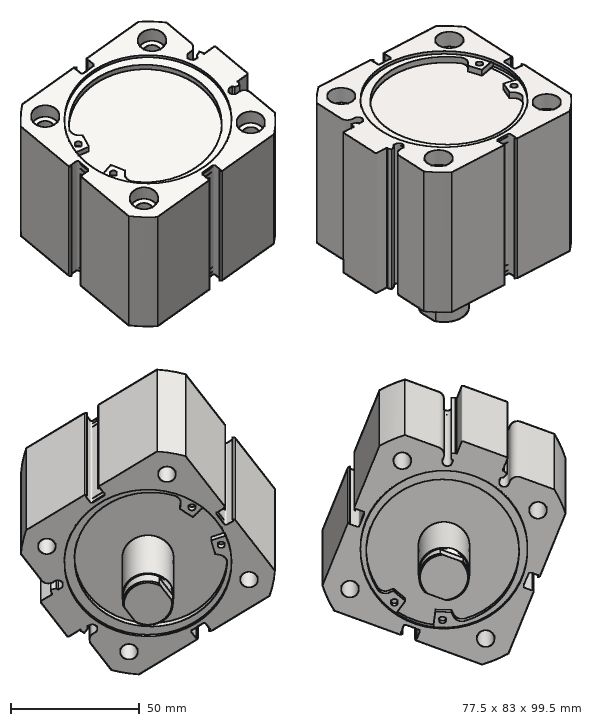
import cadquery as cq
import math


body_width = 77.5
half_width = body_width / 2
rail_face_y = 38.5
body_height = 66.5
overall_height = 99.5
overall_depth = 83.0
corner_diameter = 99.0
bore_diameter = 65.0
bolt_spacing = 56.5
bolt_hole_diameter = 6.9
counterbore_diameter = 11.0
counterbore_depth = 7.0

groove_depth = 4.6
groove_opening = 5.2
groove_width = 6.7
groove_lip = 0.8
groove_corner_radius = 0.7
groove_bevel_depth = 0.5

rail_half_width = 9.6
rail_height = overall_depth - half_width - rail_face_y
rail_corner_radius = 0.5
rail_hook = [(10.1, rail_face_y), (11.6, 37.9), (10.8, 35.8)]
rail_slot_x = 11.8
rail_slot_width = 3.9
rail_slot_radius = rail_slot_width / 2
rail_slot_bottom = 32.3
rail_slot_neck = 35.4
rail_slot_mouth_radius = 3.3

ring_diameter = 67.9
ring_thickness = 2.8
ring_recess = 1.4
ring_inner_diameter = 59.4
ring_inner_offset = 1.4
ring_gap_half_angle = 13.8
lug_angle = 20.0
lug_inner_distance = 26.1
lug_side = 3.4
lug_flank_angle = 25.0
lug_fillet = 3.7
lug_hole_diameter = 2.8
lug_hole_distance = 29.4

cover_recess = ring_recess + ring_thickness
cover_thickness = 11.9

rod_diameter = 20.0
rod_reach = overall_height - body_height
rod_tip_diameter = 19.5
rod_tip_length = 6.2
rod_shoulder_chamfer = 0.3
rod_end_chamfer = 0.5
across_flats = 17.0
flat_length = 5.3


def sensor_groove():
    """Undercut groove along the +X face, over the full height."""
    floor_x = half_width - groove_depth
    lip_x = half_width - groove_lip
    inside = (
        cq.Workplane("XY")
        .box(lip_x - floor_x, groove_width, body_height, centered=(False, True, False))
        .edges("|Z and <X")
        .fillet(groove_corner_radius)
        .translate((floor_x, 0, 0))
    )
    mouth = (
        cq.Workplane("XY")
        .box(groove_depth, groove_opening, body_height, centered=(False, True, False))
        .translate((floor_x, 0, 0))
    )
    bevel = (
        cq.Workplane("XY")
        .polyline([
            (half_width, -groove_width / 2),
            (half_width, groove_width / 2),
            (half_width - groove_bevel_depth, groove_opening / 2),
            (half_width - groove_bevel_depth, -groove_opening / 2),
        ])
        .close()
        .extrude(body_height)
    )
    return inside.union(mouth).union(bevel)


def rail():
    """Raised part of the rail, beyond the +Y face."""
    return (
        cq.Workplane("XY")
        .box(2 * rail_half_width, rail_height, body_height, centered=(True, False, False))
        .edges("|Z and >Y")
        .fillet(rail_corner_radius)
        .translate((0, rail_face_y, 0))
    )


def rail_slot():
    """Round-bottomed slot beside the rail, on the +X side."""
    inner_x = rail_slot_x - rail_slot_radius
    outer_x = rail_slot_x + rail_slot_radius
    round_y = rail_slot_bottom + rail_slot_radius
    mouth_x = outer_x + rail_slot_mouth_radius
    mouth_y = rail_face_y - rail_slot_mouth_radius
    mouth_middle = rail_slot_mouth_radius * math.sqrt(0.5)
    return (
        cq.Workplane("XY")
        .moveTo(rail_half_width, rail_face_y)
        .polyline(rail_hook, includeCurrent=True)
        .lineTo(inner_x, rail_slot_neck)
        .lineTo(inner_x, round_y)
        .threePointArc((rail_slot_x, rail_slot_bottom), (outer_x, round_y))
        .lineTo(outer_x, mouth_y)
        .threePointArc((mouth_x - mouth_middle, mouth_y + mouth_middle), (mouth_x, rail_face_y))
        .close()
        .extrude(body_height)
    )


def at_rod_end(head_end_body):
    """Mirror a body from the head end (+Z) to the rod end."""
    return head_end_body.mirror("XY").translate((0, 0, body_height))


def make_housing():
    body = (
        cq.Workplane("XY")
        .box(body_width, half_width + rail_face_y, body_height, centered=(True, False, False))
        .translate((0, -half_width, 0))
    )
    body = body.intersect(cq.Workplane("XY").circle(corner_diameter / 2).extrude(body_height))
    for angle in (0, 180, 270):
        body = body.cut(sensor_groove().rotate((0, 0, 0), (0, 0, 1), angle))
    slot = rail_slot()
    body = body.cut(slot).cut(slot.mirror("YZ")).union(rail())
    body = body.cut(cq.Workplane("XY").circle(bore_diameter / 2).extrude(body_height))
    ring_groove = (
        cq.Workplane("XY")
        .workplane(offset=body_height - cover_recess)
        .circle(ring_diameter / 2)
        .extrude(ring_thickness)
    )
    body = body.cut(ring_groove).cut(at_rod_end(ring_groove))
    return (
        body.faces(">Z")
        .workplane(origin=(0, 0, body_height))
        .rect(bolt_spacing, bolt_spacing, forConstruction=True)
        .vertices()
        .cboreHole(bolt_hole_diameter, counterbore_diameter, counterbore_depth)
    )


def ring_lug():
    """Lug on the +X side of the gap, with its axis first along -Y and then turned to its place."""
    outer_y = -bore_diameter / 2
    flank = (lug_inner_distance + outer_y) * math.tan(math.radians(lug_flank_angle))
    outline = [
        (-lug_side, outer_y),
        (-lug_side, -lug_inner_distance),
        (lug_side, -lug_inner_distance),
        (lug_side - flank, outer_y),
    ]
    lug = cq.Workplane("XY").polyline(outline).close().extrude(ring_thickness)
    return lug.rotate((0, 0, 0), (0, 0, 1), lug_angle)


def make_retaining_ring():
    """Retaining ring at the head end, with its gap toward -Y."""
    ring = (
        cq.Workplane("XY")
        .circle(ring_diameter / 2)
        .extrude(ring_thickness)
        .cut(
            cq.Workplane("XY")
            .center(0, -ring_inner_offset)
            .circle(ring_inner_diameter / 2)
            .extrude(ring_thickness)
        )
    )
    lug = ring_lug()
    ring = ring.union(lug).union(lug.mirror("YZ"))
    gap_depth = ring_diameter
    gap_x = gap_depth * math.tan(math.radians(ring_gap_half_angle))
    gap = (
        cq.Workplane("XY")
        .polyline([(0, 0), (gap_x, -gap_depth), (-gap_x, -gap_depth)])
        .close()
        .extrude(ring_thickness)
    )
    ring = ring.cut(gap)
    root_x = 14.9
    root_y = -26.9
    for side in (1, -1):
        root = cq.selectors.NearestToPointSelector((side * root_x, root_y, ring_thickness / 2))
        ring = ring.edges("|Z").edges(root).fillet(lug_fillet)
    hole_x = lug_hole_distance * math.sin(math.radians(lug_angle))
    hole_y = -lug_hole_distance * math.cos(math.radians(lug_angle))
    holes = (
        cq.Workplane("XY")
        .pushPoints([(hole_x, hole_y), (-hole_x, hole_y)])
        .circle(lug_hole_diameter / 2)
        .extrude(ring_thickness)
    )
    return ring.cut(holes).translate((0, 0, body_height - cover_recess))


def make_head_cover():
    """Plain disc that closes the bore under the head-end ring."""
    return (
        cq.Workplane("XY")
        .workplane(offset=body_height - cover_recess - cover_thickness)
        .circle(bore_diameter / 2)
        .extrude(cover_thickness)
    )


def make_rod_cover():
    """Disc behind the rod-end ring, bored for the rod."""
    return (
        cq.Workplane("XY")
        .workplane(offset=cover_recess)
        .circle(bore_diameter / 2)
        .circle(rod_diameter / 2)
        .extrude(cover_thickness)
    )


def make_rod():
    """Piston rod from the inner face of the rod cover to its tip with two wrench flats."""
    shoulder_z = rod_tip_length - rod_reach
    shank = (
        cq.Workplane("XY")
        .workplane(offset=shoulder_z)
        .circle(rod_diameter / 2)
        .extrude(cover_recess + cover_thickness - shoulder_z)
        .faces("<Z")
        .chamfer(rod_shoulder_chamfer)
    )
    tip = (
        cq.Workplane("XY")
        .workplane(offset=-rod_reach)
        .circle(rod_tip_diameter / 2)
        .extrude(rod_tip_length)
        .faces("<Z")
        .chamfer(rod_end_chamfer)
    )
    flat_y = across_flats / 2
    flat_top = flat_length - rod_reach
    slope = rod_diameter / 2 - flat_y
    flat_cut = (
        cq.Workplane("YZ")
        .polyline([
            (flat_y, -rod_reach),
            (flat_y, flat_top),
            (flat_y + slope, flat_top + slope),
            (flat_y + slope, -rod_reach),
        ])
        .close()
        .extrude(rod_diameter / 2, both=True)
    )
    return shank.union(tip).cut(flat_cut).cut(flat_cut.mirror("XZ"))


housing = make_housing()
head_ring = make_retaining_ring()
rod_ring = at_rod_end(head_ring)
head_cover = make_head_cover()
rod_cover = make_rod_cover()
rod = make_rod()

result = cq.Compound.makeCompound([
    housing.val(),
    head_ring.val(),
    rod_ring.val(),
    head_cover.val(),
    rod_cover.val(),
    rod.val(),
])